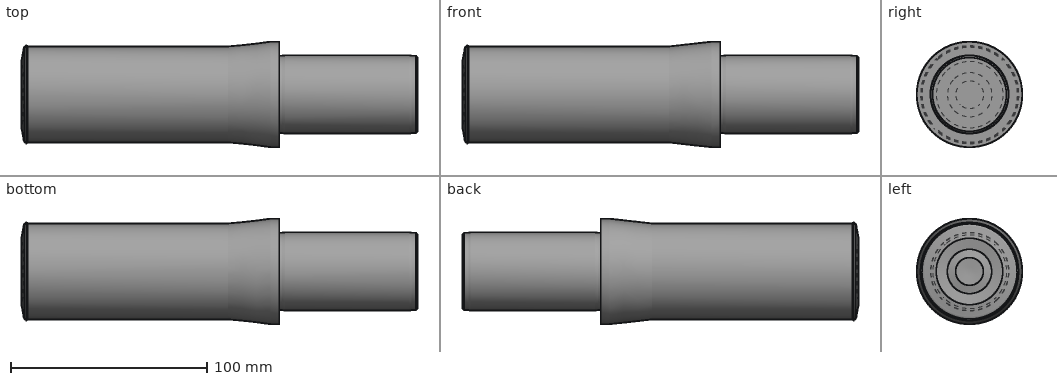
import cadquery as cq

total_length = 202.0
rim_x = 1.0
corner_end_x = 1.6
head_peak_x = 2.6
head_end_x = 3.2
flare_start_x = 105.5
flare_end_x = 127.0
flange_end_x = 131.5
neck_end_x = 133.0
shank_start_x = 134.3
shank_end_x = 198.0
tail_start_x = 199.0

head_diameter = 50.0
barrel_diameter = 49.0
flange_diameter = 54.0
shank_diameter = 40.0
relief_diameter = 39.5
tail_chamfer = 1.0

corner_end_radius = 24.2
rim_radius = 22.5
outer_crest_radius = 17.0
valley_radius = 11.3
inner_crest_radius = 7.0
valley_depth = 1.0
center_depth = 0.6
corner_bulge = 0.16

head_radius = head_diameter / 2
barrel_radius = barrel_diameter / 2
flange_radius = flange_diameter / 2
shank_radius = shank_diameter / 2
relief_radius = relief_diameter / 2


def revolve_about_x(profile):
    """Turn a closed (x, radius) profile into a round body about the X axis."""
    return profile.close().revolve(360, (0, 0, 0), (1, 0, 0))


def make_cutting_head():
    """Disc with a rippled front face and a rounded corner ahead of its steep edge cone."""
    corner_middle = (
        (rim_x + corner_end_x) / 2 - corner_bulge,
        (rim_radius + corner_end_radius) / 2,
    )
    profile = (
        cq.Workplane("XZ")
        .moveTo(center_depth, 0)
        .lineTo(0, inner_crest_radius)
        .lineTo(valley_depth, valley_radius)
        .lineTo(0, outer_crest_radius)
        .lineTo(rim_x, rim_radius)
        .threePointArc(corner_middle, (corner_end_x, corner_end_radius))
        .lineTo(head_peak_x, head_radius)
        .lineTo(head_end_x, barrel_radius)
        .lineTo(head_end_x, 0)
    )
    return revolve_about_x(profile)


def make_holder():
    """Barrel, flared flange and stepped shank turned as one piece."""
    profile = (
        cq.Workplane("XZ")
        .moveTo(head_end_x, 0)
        .lineTo(head_end_x, barrel_radius)
        .lineTo(flare_start_x, barrel_radius)
        .lineTo(flare_end_x, flange_radius)
        .lineTo(flange_end_x, flange_radius)
        .lineTo(flange_end_x, relief_radius)
        .lineTo(neck_end_x, relief_radius)
        .lineTo(shank_start_x, shank_radius)
        .lineTo(shank_end_x, shank_radius)
        .lineTo(tail_start_x, relief_radius)
        .lineTo(total_length - tail_chamfer, relief_radius)
        .lineTo(total_length, relief_radius - tail_chamfer)
        .lineTo(total_length, 0)
    )
    return revolve_about_x(profile)


cutting_head = make_cutting_head()
holder = make_holder()

result = cq.Compound.makeCompound([cutting_head.val(), holder.val()])